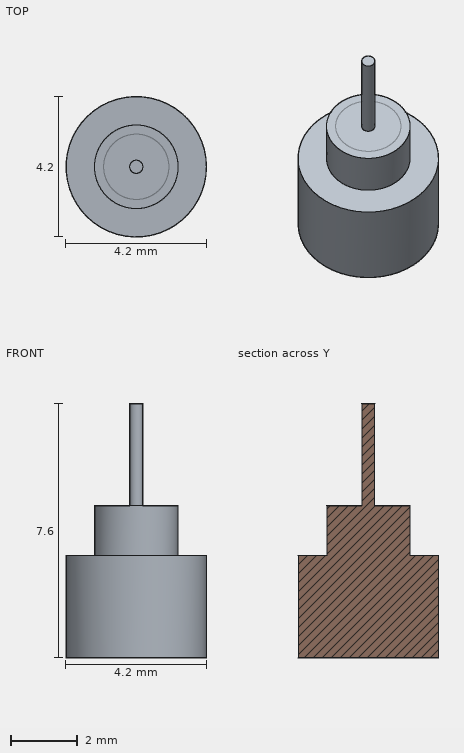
import cadquery as cq

total_height = 7.6
body_diameter = 4.2
body_height = 3.06
neck_diameter = 2.5
neck_height = 1.49
insulator_diameter = 1.95
pin_diameter = 0.395

neck_top = body_height + neck_height
pin_length = total_height - neck_top


def cylinder(diameter, height, base_z):
    """Upright cylinder on the Z axis, starting at base_z."""
    return cq.Workplane("XY").workplane(offset=base_z).circle(diameter / 2).extrude(height)


body = cylinder(body_diameter, body_height, 0)
insulator = cylinder(insulator_diameter, neck_height, body_height)
neck_sleeve = cylinder(neck_diameter, neck_height, body_height).cut(insulator)
pin = cylinder(pin_diameter, pin_length, neck_top)

result = body.union(neck_sleeve, clean=False).union(insulator, clean=False).union(pin, clean=False)